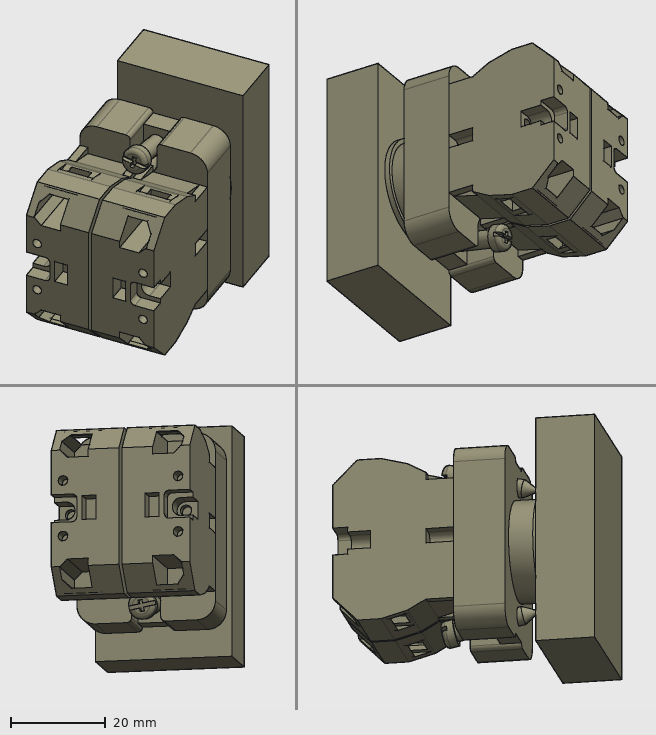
import cadquery as cq
import math


TOTAL_DEPTH = 56.3
WIDTH = 29.9

HEAD_WIDTH = 29.45
HEAD_HEIGHT = 49.5
HEAD_BACK_Y = 43.65
FLANGE_RADIUS = 12.0
FLANGE_FRONT_Y = 42.45
BARREL_RADIUS = 11.0

BRACKET_FRONT_Y = 25.95
BRACKET_BACK_Y = 37.05
BRACKET_HEIGHT = 40.15
BRACKET_CORNER_RADIUS = 4.0
NOTCH_WIDTH = 6.3
NOTCH_CENTRE_Z = 14.85
NOTCH_LIP_RADIUS = 1.0
BRIDGE_FRONT_Y = 32.5
BRIDGE_TOP_Z = 19.05

SCREW_TIP_Y = 41.65
SCREW_TIP_Z = 13.35
SCREW_TILT = 11.3
SHANK_RADIUS = 1.95
CONE_LENGTH = 3.6
SHANK_END = 18.4
SCREW_HEAD_RADIUS = 2.9
SCREW_HEAD_LENGTH = 2.8
SCREW_HEAD_ROUND = 1.05
DRIVE_DEPTH = 1.35
DRIVE_WIDTH = 0.9
CROSS_LENGTH = 2.5
DRIVE_TURN = 10.0

GAP = 0.7
OUTER_X = -WIDTH / 2
INNER_X = -GAP / 2
FACE_HALF_HEIGHT = 12.5
ROOF_HALF_HEIGHT = 17.8
SHOULDER_HALF_HEIGHT = 16.25
NECK_HALF_HEIGHT = 14.1
ROOF_FRONT_Y = ROOF_HALF_HEIGHT - FACE_HALF_HEIGHT
ROOF_BACK_Y = 10.4
SHOULDER_Y = 16.1
NECK_Y = 20.1
EDGE_STRIP_WIDTH = 1.85
CENTRE_STRIP_WIDTH = 1.8

TERMINAL_OUTER = 1.8
TERMINAL_INNER = 8.0
TERMINAL_BOTTOM_Z = 10.9
TERMINAL_TOP_Z = 16.5
TERMINAL_CHAMFER = 1.7
TERMINAL_DEPTH = 15.1
WIRE_SLOT_INNER = 9.8
WIRE_SLOT_BOTTOM_Z = 16.4
WIRE_SLOT_TOP_Z = 17.35
WIRE_SLOT_FRONT_Y = 5.2
LATCH_CENTRE = 2.55
LATCH_RECESS_REACH = 5.5
LATCH_RECESS_HEIGHT = 5.95
LATCH_RECESS_DEPTH = 3.2
LATCH_RECESS_ROUND = 1.05
LATCH_SLOT_RADIUS = 1.9
LATCH_SLOT_DEPTH = 8.1
LATCH_HOLE_RADIUS = 1.2
LATCH_HOLE_DEPTH = 10.15
PROBE_HOLE_RADIUS = 1.0
PROBE_HOLE_Z = 5.95
WINDOW_OUTER = 6.65
WINDOW_INNER = 9.6
WINDOW_HEIGHT = 5.1
FACE_HOLE_DEPTH = 4.05
SIDE_SLOT_RADIUS = 1.6


def box(x, y, z):
    """Box between the given (low, high) limits on each axis."""
    return cq.Workplane("XY").box(
        x[1] - x[0], y[1] - y[0], z[1] - z[0], centered=False
    ).translate((x[0], y[0], z[0]))


def along_y(front, back, x=0.0, z=0.0):
    """XZ sketch plane at `front` and the extrusion length that reaches `back`."""
    return cq.Workplane("XZ", origin=(x, front, z)), front - back


def cylinder_y(radius, front, back, x=0.0, z=0.0):
    plane, length = along_y(front, back, x, z)
    return plane.circle(radius).extrude(length)


def both_ends(shape):
    """The shape and its mirror image below the centre line."""
    return shape.union(shape.mirror("XY"))


def make_head():
    half = HEAD_WIDTH / 2
    half_height = HEAD_HEIGHT / 2
    return box((-half, half), (HEAD_BACK_Y, TOTAL_DEPTH), (-half_height, half_height))


def make_flange():
    return cylinder_y(FLANGE_RADIUS, FLANGE_FRONT_Y, HEAD_BACK_Y)


def make_barrel():
    return cylinder_y(BARREL_RADIUS, BRACKET_BACK_Y, FLANGE_FRONT_Y)


def place_screw(shape, end):
    """Move a shape built along -Y from the screw tip to the top (end 0) or bottom (end 1)."""
    tilted = shape.rotate((0, 0, 0), (1, 0, 0), -SCREW_TILT)
    placed = tilted.translate((0, SCREW_TIP_Y, SCREW_TIP_Z))
    return placed.mirror("XY") if end else placed


def make_screw(end):
    head_end = SHANK_END + SCREW_HEAD_LENGTH
    round_start = head_end - SCREW_HEAD_ROUND
    face_radius = SCREW_HEAD_RADIUS - SCREW_HEAD_ROUND
    arc_middle = (
        face_radius + SCREW_HEAD_ROUND * math.sqrt(0.5),
        -round_start - SCREW_HEAD_ROUND * math.sqrt(0.5),
    )
    screw = (
        cq.Workplane("XY")
        .moveTo(0, 0)
        .lineTo(SHANK_RADIUS, -CONE_LENGTH)
        .lineTo(SHANK_RADIUS, -SHANK_END)
        .lineTo(SCREW_HEAD_RADIUS, -SHANK_END)
        .lineTo(SCREW_HEAD_RADIUS, -round_start)
        .threePointArc(arc_middle, (face_radius, -head_end))
        .lineTo(0, -head_end)
        .close()
        .revolve(360, (0, 0, 0), (0, 1, 0))
    )
    drive_y = (-head_end, -head_end + DRIVE_DEPTH)
    half_drive = (-DRIVE_WIDTH / 2, DRIVE_WIDTH / 2)
    slot = box((-SCREW_HEAD_RADIUS, SCREW_HEAD_RADIUS), drive_y, half_drive)
    cross = box(half_drive, drive_y, (-CROSS_LENGTH / 2, CROSS_LENGTH / 2))
    drive = slot.union(cross).rotate((0, 0, 0), (0, 1, 0), DRIVE_TURN)
    return place_screw(screw.cut(drive), end)


def make_screw_hole(end):
    return place_screw(cylinder_y(SHANK_RADIUS, -SHANK_END, 0), end)


def make_notch():
    """Open-topped notch with a round bottom, reaching the full bracket depth."""
    half = NOTCH_WIDTH / 2
    top = BRACKET_HEIGHT / 2
    lip = NOTCH_LIP_RADIUS
    plane, length = along_y(BRACKET_FRONT_Y, BRACKET_BACK_Y)
    lip_offset = lip * (1 - math.sqrt(0.5))
    return (
        plane.moveTo(-half, NOTCH_CENTRE_Z)
        .threePointArc((0, NOTCH_CENTRE_Z - half), (half, NOTCH_CENTRE_Z))
        .lineTo(half, top - lip)
        .threePointArc((half + lip_offset, top - lip_offset), (half + lip, top))
        .lineTo(-half - lip, top)
        .threePointArc((-half - lip_offset, top - lip_offset), (-half, top - lip))
        .close()
        .extrude(length)
    )


def make_bracket():
    plane, length = along_y(BRACKET_FRONT_Y, BRACKET_BACK_Y)
    plate = plane.rect(WIDTH, BRACKET_HEIGHT).extrude(length)
    plate = plate.edges("|Y").fillet(BRACKET_CORNER_RADIUS)
    half = NOTCH_WIDTH / 2
    bridge = box(
        (-half, half),
        (BRIDGE_FRONT_Y, BRACKET_BACK_Y),
        (NOTCH_CENTRE_Z - half, BRIDGE_TOP_Z),
    )
    bracket = plate.cut(both_ends(make_notch())).union(both_ends(bridge))
    for end in (0, 1):
        bracket = bracket.cut(make_screw_hole(end))
    return bracket


def block_body():
    upper = [
        (0, FACE_HALF_HEIGHT),
        (ROOF_FRONT_Y, ROOF_HALF_HEIGHT),
        (ROOF_BACK_Y, ROOF_HALF_HEIGHT),
        (SHOULDER_Y, SHOULDER_HALF_HEIGHT),
        (NECK_Y, NECK_HALF_HEIGHT),
        (BRACKET_FRONT_Y, FACE_HALF_HEIGHT),
    ]
    lower = [(y, -z) for y, z in reversed(upper)]
    plane = cq.Workplane("YZ", origin=(OUTER_X, 0, 0))
    return plane.polyline(upper + lower).close().extrude(INNER_X - OUTER_X)


def neck_strip(x_low, x_high):
    """Level strip beside the tapered neck."""
    return box(
        (x_low, x_high), (NECK_Y, BRACKET_FRONT_Y), (FACE_HALF_HEIGHT, NECK_HALF_HEIGHT)
    )


def terminal_pocket():
    """Deep front pocket with bevelled outer corners, open to the wire slot above it."""
    plane, length = along_y(0, TERMINAL_DEPTH)
    height = TERMINAL_TOP_Z - TERMINAL_BOTTOM_Z
    pocket = plane.center(
        OUTER_X + (TERMINAL_OUTER + TERMINAL_INNER) / 2, TERMINAL_BOTTOM_Z + height / 2
    ).rect(TERMINAL_INNER - TERMINAL_OUTER, height).extrude(length)
    return pocket.edges("|Y and <X").chamfer(TERMINAL_CHAMFER)


def wire_slot():
    """Flat slot that opens through the sloping shoulder."""
    return box(
        (OUTER_X + TERMINAL_OUTER, OUTER_X + WIRE_SLOT_INNER),
        (WIRE_SLOT_FRONT_Y, SHOULDER_Y),
        (WIRE_SLOT_BOTTOM_Z, WIRE_SLOT_TOP_Z),
    )


def side_slot(radius, front, back):
    """Round-ended slot running in from the outer side."""
    end_x = OUTER_X + LATCH_CENTRE
    straight = box((OUTER_X, end_x), (front, back), (-radius, radius))
    return straight.union(cylinder_y(radius, front, back, end_x))


def latch_recess():
    half = LATCH_RECESS_HEIGHT / 2
    recess = box(
        (OUTER_X, OUTER_X + LATCH_RECESS_REACH), (0, LATCH_RECESS_DEPTH), (-half, half)
    )
    recess = recess.edges("|Y and >X").fillet(LATCH_RECESS_ROUND)
    hole = cylinder_y(LATCH_HOLE_RADIUS, LATCH_SLOT_DEPTH, LATCH_HOLE_DEPTH, OUTER_X + LATCH_CENTRE)
    return recess.union(side_slot(LATCH_SLOT_RADIUS, 0, LATCH_SLOT_DEPTH)).union(hole)


def window():
    half = WINDOW_HEIGHT / 2
    return box(
        (OUTER_X + WINDOW_OUTER, OUTER_X + WINDOW_INNER), (0, FACE_HOLE_DEPTH), (-half, half)
    )


def make_contact_block(side):
    """Left block (side 0), or the same block turned half round to the right (side 1)."""
    block = block_body()
    block = block.union(neck_strip(OUTER_X, OUTER_X + EDGE_STRIP_WIDTH))
    block = block.union(both_ends(neck_strip(INNER_X - CENTRE_STRIP_WIDTH, INNER_X)))
    edge_notch = neck_strip(OUTER_X, OUTER_X + EDGE_STRIP_WIDTH).mirror("XY")
    probe_hole = cylinder_y(
        PROBE_HOLE_RADIUS, 0, FACE_HOLE_DEPTH, OUTER_X + LATCH_CENTRE, PROBE_HOLE_Z
    )
    cuts = [edge_notch, latch_recess(), window()]
    cuts.append(side_slot(SIDE_SLOT_RADIUS, NECK_Y, BRACKET_FRONT_Y))
    cuts += [both_ends(cut) for cut in (terminal_pocket(), wire_slot(), probe_hole)]
    for cut in cuts:
        block = block.cut(cut)
    return block.rotate((0, 0, 0), (0, 1, 0), 180 * side)


head = make_head()
flange = make_flange()
barrel = make_barrel()
bracket = make_bracket()
screws = [make_screw(end) for end in (0, 1)]
contact_blocks = [make_contact_block(side) for side in (0, 1)]

bodies = [head, flange, barrel, bracket] + screws + contact_blocks
result = cq.Compound.makeCompound([body.solids().val() for body in bodies])